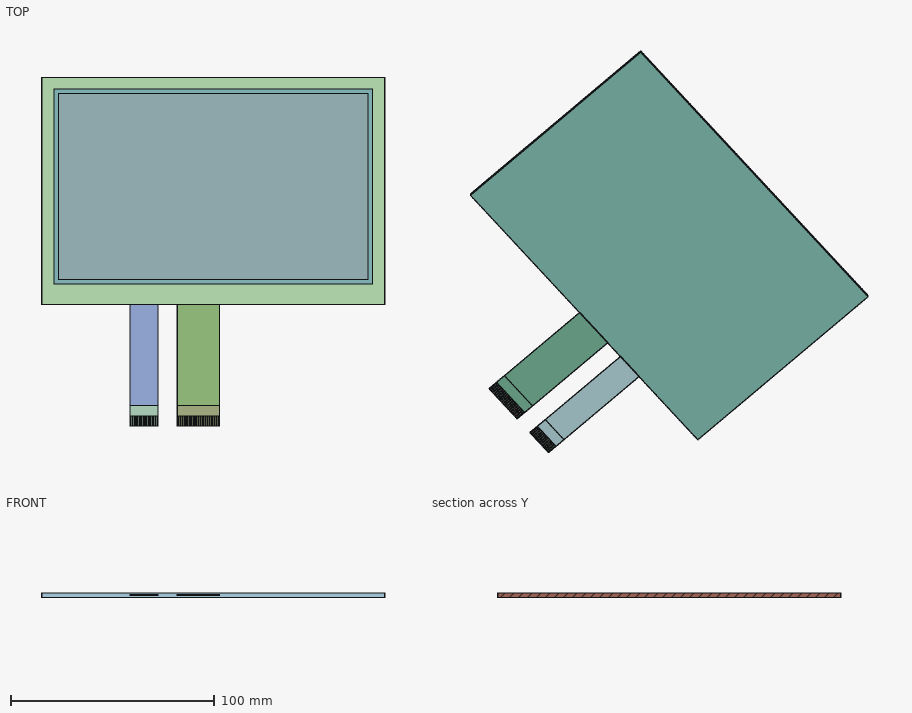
import cadquery as cq

panel_width = 168.8
panel_thickness = 2.4
overall_depth = 171.4
tail_length = 59.6
panel_depth = overall_depth - tail_length
panel_front = -panel_depth / 2
panel_left = -panel_width / 2

active_width = 152.2
active_depth = 91.4
frame_width = 2.2
frame_groove_depth = 0.09
frame_back_margin = 5.7
frame_centre_y = panel_depth / 2 - frame_back_margin - frame_width - active_depth / 2

tail_thickness = 0.2
tail_bottom = 1.11
tail_top = tail_bottom + tail_thickness
tail_tip = panel_front - tail_length
narrow_tail_width = 13.9
narrow_tail_offset = 43.4
wide_tail_width = 20.9
wide_tail_offset = 66.7

stiffener_length = 10.1
stiffener_thickness = 0.2
contact_length = 5.0
contact_pitch = 1.11
contact_width = 0.7
contact_thickness = 0.09


def box(left, front, bottom, width, depth, height):
    """Box placed by its left, front, bottom corner."""
    return cq.Workplane("XY").box(width, depth, height, centered=False).translate((left, front, bottom))


def make_panel():
    """Flat panel with the rectangular frame groove in its top face."""
    panel = box(panel_left, panel_front, 0, panel_width, panel_depth, panel_thickness)
    groove = (
        cq.Workplane("XY", origin=(0, frame_centre_y, panel_thickness - frame_groove_depth))
        .rect(active_width + 2 * frame_width, active_depth + 2 * frame_width)
        .rect(active_width, active_depth)
        .extrude(frame_groove_depth)
    )
    return panel.cut(groove)


def make_tail(offset, width):
    """Tail with a stiffened tip whose underside carries a row of contacts."""
    left = panel_left + offset
    film_front = tail_tip + contact_length
    film = box(left, film_front, tail_bottom, width, tail_length - contact_length, tail_thickness)
    stiffener = box(left, tail_tip, tail_top, width, stiffener_length, stiffener_thickness)
    tail = film.union(stiffener)

    contact_count = int(width / contact_pitch)
    row_width = (contact_count - 1) * contact_pitch + contact_width
    first_contact = left + (width - row_width) / 2
    for index in range(contact_count):
        contact_left = first_contact + index * contact_pitch
        contact = box(
            contact_left, tail_tip, tail_top - contact_thickness,
            contact_width, contact_length, contact_thickness,
        )
        tail = tail.union(contact)
    return tail


result = (
    make_panel()
    .union(make_tail(narrow_tail_offset, narrow_tail_width))
    .union(make_tail(wide_tail_offset, wide_tail_width))
)